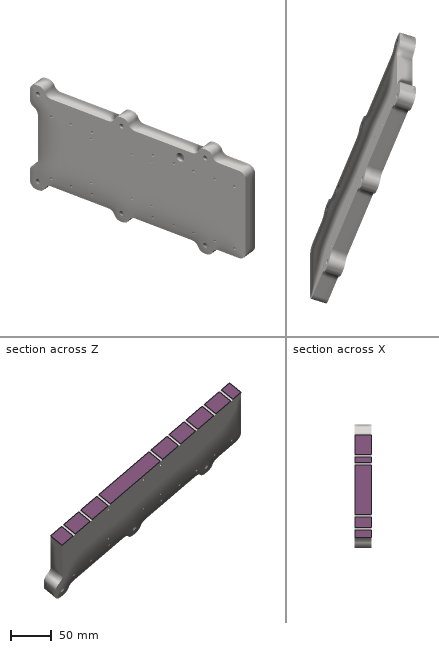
import cadquery as cq
import math

length = 326.92
thickness = 20.37
total_height = 152.0
corner_radius = 10.0

lug_pitch = 127.0
lug_count = 3
lug_hole_diameter = 6.5
lug_half_flat = 1.5
first_lug_x = 12.0
lug_xs = [first_lug_x + i * lug_pitch for i in range(lug_count)]
lug_hole_z = lug_pitch / 2

body_left = first_lug_x
body_top = lug_hole_z
lug_top = total_height / 2
left_flat_bottom = lug_hole_z - first_lug_x

pair_spacing = 30.0
pair_pitch = 62.0

outer_hole_diameter = 3.33
outer_first_x = 32.4
outer_row_zs = (37.9, -52.1)
outer_xs = [outer_first_x + i * pair_pitch for i in (0, 1, 3, 4)]
outer_xs += [outer_first_x + pair_spacing + i * pair_pitch for i in (0, 2, 3, 4)]

inner_hole_diameter = 2.53
inner_first_x = 92.9
inner_row_zs = (27.8, -36.2)
inner_second_x = inner_first_x + pair_pitch
inner_xs = [inner_first_x, inner_second_x, inner_second_x + pair_spacing]

large_hole_diameter = 12.0
large_hole_position = (228.0, 50.8)


def s_curve_run(rise):
    """Run of an S-curve of two equal tangent arcs that steps sideways by rise."""
    reach = 2 * corner_radius
    return math.sqrt(reach**2 - (reach - rise) ** 2)


def add_s_curve(outline, start, end):
    """Join two parallel edges with two arcs that meet halfway."""
    middle = ((start[0] + end[0]) / 2, (start[1] + end[1]) / 2)
    outline = outline.lineTo(*start)
    outline = outline.tangentArcPoint(middle, relative=False)
    return outline.tangentArcPoint(end, relative=False)


def make_half_plate():
    """Upper half of the plate, from the mid-height to the lug tops."""
    side_run = s_curve_run(body_left)
    top_run = s_curve_run(lug_top - body_top)

    outline = cq.Workplane("XZ").moveTo(body_left, 0)
    outline = add_s_curve(outline, (body_left, left_flat_bottom - side_run), (0, left_flat_bottom))
    outline = outline.lineTo(0, lug_top - corner_radius)
    outline = outline.tangentArcPoint((corner_radius, lug_top), relative=False)

    for index, x in enumerate(lug_xs):
        flat_left = x - lug_half_flat
        flat_right = x + lug_half_flat
        if index > 0:
            outline = add_s_curve(outline, (flat_left - top_run, body_top), (flat_left, lug_top))
        outline = add_s_curve(outline, (flat_right, lug_top), (flat_right + top_run, body_top))

    outline = outline.lineTo(length - corner_radius, body_top)
    outline = outline.tangentArcPoint((length, body_top - corner_radius), relative=False)
    return outline.lineTo(length, 0).close().extrude(-thickness)


def make_plate():
    upper_half = make_half_plate()
    return upper_half.union(upper_half.mirror("XY")).clean()


def grid(xs, zs):
    return [(x, z) for x in xs for z in zs]


def drill(body, points, diameter):
    """Cut through holes along Y at the given (X, Z) points."""
    pins = cq.Workplane("XZ").pushPoints(points).circle(diameter / 2).extrude(-thickness)
    return body.cut(pins)


result = make_plate()
result = drill(result, grid(lug_xs, (lug_hole_z, -lug_hole_z)), lug_hole_diameter)
result = drill(result, grid(outer_xs, outer_row_zs), outer_hole_diameter)
result = drill(result, grid(inner_xs, inner_row_zs), inner_hole_diameter)
result = drill(result, [large_hole_position], large_hole_diameter)